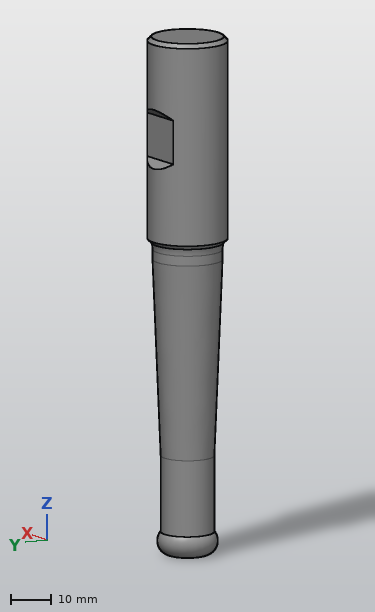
import cadquery as cq
import math

total_length = 131.0
shank_radius = 20.0 / 2
shank_length = 52.0
shank_chamfer = 1.0

collar_radius = 17.4 / 2
stem_radius = 13.4 / 2
relief_bottom_z = 77.3
collar_bottom_z = 74.8
taper_bottom_z = 25.2

head_radius = 15.0 / 2
edge_radius = 3.5

flat_depth = 2.0
flat_length = 11.0
flat_center_z = 106.1

edge_center_radius = head_radius - edge_radius
head_top_z = edge_radius + math.sqrt(edge_radius**2 - (stem_radius - edge_center_radius) ** 2)

shank_bottom_z = total_length - shank_length
chamfer_end_radius = shank_radius - shank_chamfer


def make_flat_cutter():
    """Trapezoidal prism that widens outwards and leaves the clamping flat."""
    floor_y = shank_radius - flat_depth
    outer_y = shank_radius + flat_depth
    half_floor = flat_length / 2
    half_mouth = half_floor + outer_y - floor_y
    return (
        cq.Workplane("YZ")
        .polyline([
            (floor_y, flat_center_z - half_floor),
            (floor_y, flat_center_z + half_floor),
            (outer_y, flat_center_z + half_mouth),
            (outer_y, flat_center_z - half_mouth),
        ])
        .close()
        .extrude(shank_radius, both=True)
    )


def make_holder():
    """Shank, relief, collar, taper and stem turned as one piece, then flatted."""
    turned = (
        cq.Workplane("XZ")
        .moveTo(0, head_top_z)
        .lineTo(stem_radius, head_top_z)
        .lineTo(stem_radius, taper_bottom_z)
        .lineTo(collar_radius, collar_bottom_z)
        .lineTo(collar_radius, relief_bottom_z)
        .tangentArcPoint((chamfer_end_radius, shank_bottom_z), relative=False)
        .lineTo(shank_radius, shank_bottom_z + shank_chamfer)
        .lineTo(shank_radius, total_length - shank_chamfer)
        .lineTo(chamfer_end_radius, total_length)
        .lineTo(0, total_length)
        .close()
        .revolve(360, (0, 0, 0), (0, 1, 0))
    )
    return turned.cut(make_flat_cutter())


def make_head():
    """Round-edged cutting head with a flat end face, seated on the stem."""
    return (
        cq.Workplane("XZ")
        .lineTo(edge_center_radius, 0)
        .threePointArc((head_radius, edge_radius), (stem_radius, head_top_z))
        .lineTo(0, head_top_z)
        .close()
        .revolve(360, (0, 0, 0), (0, 1, 0))
    )


holder = make_holder()
head = make_head()

result = cq.Compound.makeCompound([holder.val(), head.val()])